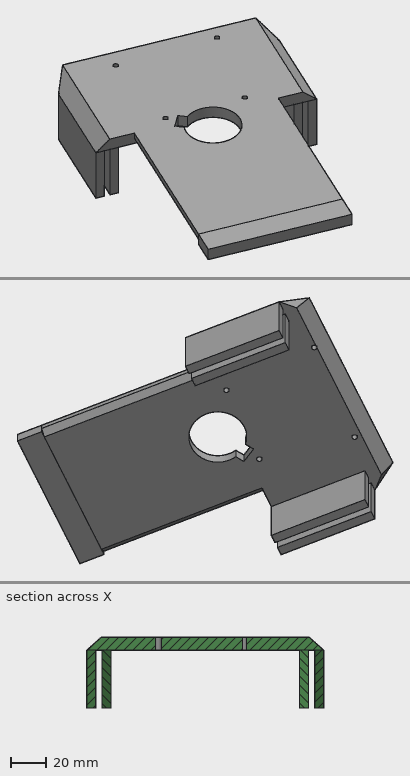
import cadquery as cq

TOTAL_LENGTH = 188.0
TOTAL_WIDTH = 135.0
TOTAL_HEIGHT = 40.5
PLATE_THICKNESS = 7.5

HEAD_LENGTH = 73.3
HEAD_TOP_WIDTH = 118.0
NOSE_BOTTOM_WIDTH = 119.5
NOSE_UNDERCUT = 7.5
CORNER_SETBACK = 15.0

TAIL_WIDTH = 88.0
TAIL_UNDERCUT = 3.8
END_BAR_LENGTH = 15.0

LEG_THICKNESS = 5.3
LEG_PITCH = 8.6

SCREW_HOLE_DIAMETER = 3.0
SCREW_HOLE_POSITIONS = [(8.8, 32.0), (65.8, 26.5), (67.0, -22.4), (11.5, -31.0)]
BORE_DIAMETER = 32.9
BORE_CENTER = (82.7, 0.4)
KEYWAY_WIDTH = 9.8
KEYWAY_REACH = 21.2
KEYWAY_ANGLE = 238.0

BOTTOM_Z = -PLATE_THICKNESS
END_BAR_X = TOTAL_LENGTH - END_BAR_LENGTH
LEG_LENGTH = HEAD_LENGTH - CORNER_SETBACK
LEG_HEIGHT = TOTAL_HEIGHT - PLATE_THICKNESS


def make_head():
    """Head with a sloped nose, sloped sides and triangular corner facets."""
    half_top = HEAD_TOP_WIDTH / 2
    half_nose = NOSE_BOTTOM_WIDTH / 2
    half_bottom = TOTAL_WIDTH / 2
    top_left = cq.Vector(0, half_top, 0)
    top_right = cq.Vector(0, -half_top, 0)
    top_back_left = cq.Vector(HEAD_LENGTH, half_top, 0)
    top_back_right = cq.Vector(HEAD_LENGTH, -half_top, 0)
    nose_left = cq.Vector(NOSE_UNDERCUT, half_nose, BOTTOM_Z)
    nose_right = cq.Vector(NOSE_UNDERCUT, -half_nose, BOTTOM_Z)
    corner_left = cq.Vector(CORNER_SETBACK, half_bottom, BOTTOM_Z)
    corner_right = cq.Vector(CORNER_SETBACK, -half_bottom, BOTTOM_Z)
    back_left = cq.Vector(HEAD_LENGTH, half_bottom, BOTTOM_Z)
    back_right = cq.Vector(HEAD_LENGTH, -half_bottom, BOTTOM_Z)
    outlines = [
        [top_left, top_right, top_back_right, top_back_left],
        [nose_left, nose_right, corner_right, back_right, back_left, corner_left],
        [top_left, top_right, nose_right, nose_left],
        [top_left, nose_left, corner_left],
        [top_right, nose_right, corner_right],
        [top_left, corner_left, back_left, top_back_left],
        [top_right, corner_right, back_right, top_back_right],
        [top_back_left, top_back_right, back_right, back_left],
    ]
    faces = [cq.Face.makeFromWires(cq.Wire.makePolygon(points, close=True)) for points in outlines]
    return cq.Workplane(cq.Solid.makeSolid(cq.Shell.makeShell(faces)))


def make_tail():
    """Tail strip with sloped undercuts along its lower side edges."""
    half_width = TAIL_WIDTH / 2
    undercut_z = BOTTOM_Z + TAIL_UNDERCUT
    bottom_half_width = half_width - TAIL_UNDERCUT
    profile = [
        (-half_width, 0),
        (half_width, 0),
        (half_width, undercut_z),
        (bottom_half_width, BOTTOM_Z),
        (-bottom_half_width, BOTTOM_Z),
        (-half_width, undercut_z),
    ]
    return (
        cq.Workplane("YZ", origin=(HEAD_LENGTH, 0, 0))
        .polyline(profile)
        .close()
        .extrude(END_BAR_X - HEAD_LENGTH)
    )


def make_bore():
    """Cutter for the large bore and its slanted keyway."""
    bore_plane = cq.Workplane("XY", origin=(*BORE_CENTER, BOTTOM_Z))
    bore = bore_plane.circle(BORE_DIAMETER / 2).extrude(PLATE_THICKNESS)
    keyway = (
        bore_plane.transformed(rotate=(0, 0, KEYWAY_ANGLE))
        .rect(KEYWAY_REACH, KEYWAY_WIDTH, centered=(False, True))
        .extrude(PLATE_THICKNESS)
    )
    return bore.union(keyway)


def make_screw_holes():
    """Cutters for the four small through holes in the head."""
    return (
        cq.Workplane("XY", origin=(0, 0, BOTTOM_Z))
        .pushPoints(SCREW_HOLE_POSITIONS)
        .circle(SCREW_HOLE_DIAMETER / 2)
        .extrude(PLATE_THICKNESS)
    )


def make_plate():
    """T-shaped plate with its openings."""
    return make_head().union(make_tail()).cut(make_bore()).cut(make_screw_holes())


def make_end_bar():
    """Full-thickness bar across the end of the tail."""
    return cq.Workplane("XY", origin=(END_BAR_X, 0, BOTTOM_Z)).rect(
        END_BAR_LENGTH, TAIL_WIDTH, centered=(False, True)
    ).extrude(PLATE_THICKNESS)


def make_leg(center_y):
    """Rectangular leg hanging below the head."""
    return cq.Workplane("XY", origin=(CORNER_SETBACK, center_y, -TOTAL_HEIGHT)).rect(
        LEG_LENGTH, LEG_THICKNESS, centered=(False, True)
    ).extrude(LEG_HEIGHT)


plate = make_plate()
end_bar = make_end_bar()

outer_leg_y = (TOTAL_WIDTH - LEG_THICKNESS) / 2
legs = []
for side in (-1, 1):
    for leg_y in (outer_leg_y, outer_leg_y - LEG_PITCH):
        legs.append(make_leg(side * leg_y))

result = cq.Compound.makeCompound([plate.val(), end_bar.val(), *[leg.val() for leg in legs]])